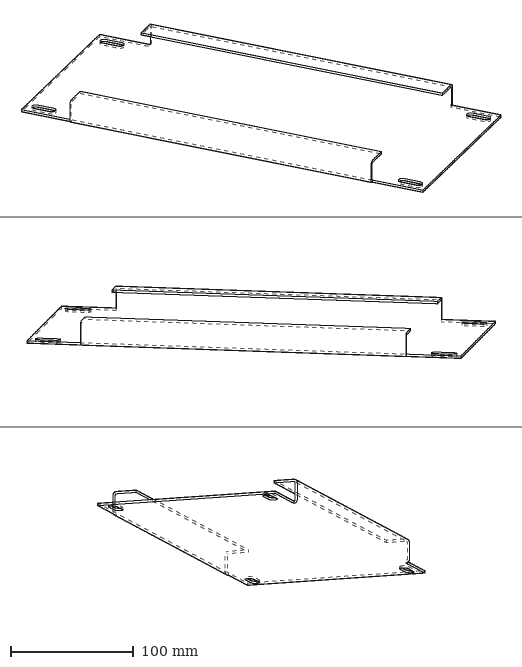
import cadquery as cq

plate_length = 360.0
overall_width = 160.0
overall_height = 20.0
thickness = 2.0

flange_length = 270.0
lip_width = 20.0
inner_bend_radius = 1.0
outer_bend_radius = inner_bend_radius + thickness
plate_width = overall_width - 2 * outer_bend_radius

slot_length = 21.0
slot_width = 7.0
slot_spacing_x = 328.5
slot_spacing_y = 134.0


def rounded_bar(width, height, radius):
    """Bar along X with its four long edges rounded, centred on the flange height."""
    return (
        cq.Workplane("XY")
        .box(flange_length, width, height)
        .edges("|X")
        .fillet(radius)
        .translate((0, 0, overall_height / 2))
    )


def make_channel():
    """Base strip, two upright walls and two inward lips with rounded bends."""
    outside = rounded_bar(overall_width, overall_height, outer_bend_radius)
    inside = rounded_bar(
        overall_width - 2 * thickness, overall_height - 2 * thickness, inner_bend_radius
    )
    opening = cq.Workplane("XY").box(
        flange_length,
        overall_width - 2 * lip_width,
        overall_height - thickness,
        centered=(True, True, False),
    ).translate((0, 0, thickness))
    return outside.cut(inside).cut(opening)


def make_plate():
    """Flat plate reaching past both ends of the flanges."""
    return cq.Workplane("XY").box(
        plate_length, plate_width, thickness, centered=(True, True, False)
    )


def make_slots():
    """Cutters for the four corner slots, long side along X."""
    return (
        cq.Workplane("XY")
        .rarray(slot_spacing_x, slot_spacing_y, 2, 2)
        .slot2D(slot_length, slot_width)
        .extrude(thickness)
    )


result = make_plate().union(make_channel()).cut(make_slots())